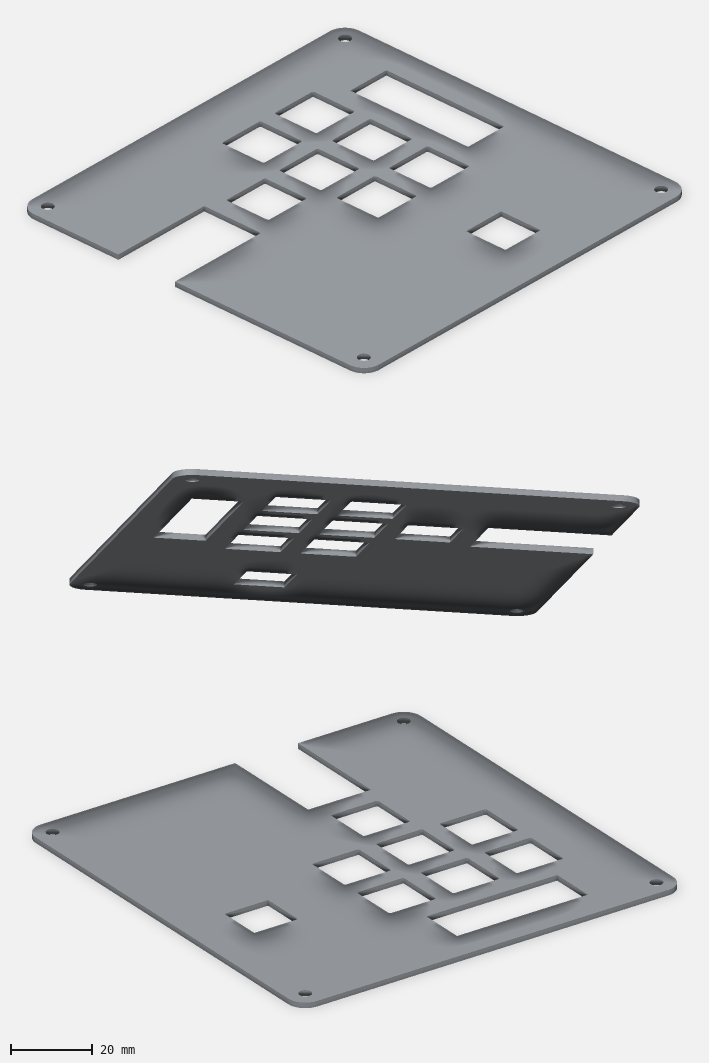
import cadquery as cq

plate_width = 115.3
plate_length = 117.6
plate_thickness = 1.5
corner_radius = 5.1

screw_hole_diameter = 3.4

key_size = 14.0
key_corner_radius = 0.5
key_pitch = 19.1
middle_key_x = -15.4
middle_key_y = 4.0

display_width = 39.2
display_height = 13.1
display_y = 43.1

side_window_width = 13.1
side_window_height = 12.7
side_window_x = 37.3
side_window_y = 13.3

slot_width = 18.8
slot_depth = 31.1
slot_x = -15.1


def rectangle_cutter(width, height, x, y):
    """Rectangular block through the full plate thickness, centred at (x, y)."""
    return cq.Workplane("XY").center(x, y).rect(width, height).extrude(plate_thickness)


def key_cutter(column, row):
    """Rounded key opening, counted in pitches from the middle key."""
    x = middle_key_x + column * key_pitch
    y = middle_key_y + row * key_pitch
    return rectangle_cutter(key_size, key_size, x, y).edges("|Z").fillet(key_corner_radius)


plate = rectangle_cutter(plate_width, plate_length, 0, 0).edges("|Z").fillet(corner_radius)

screw_holes = (
    cq.Workplane("XY")
    .rect(plate_width - 2 * corner_radius, plate_length - 2 * corner_radius, forConstruction=True)
    .vertices()
    .circle(screw_hole_diameter / 2)
    .extrude(plate_thickness)
)
plate = plate.cut(screw_holes)

key_positions = [(column, row) for row in (0, 1) for column in (-1, 0, 1)]
key_positions.append((0, -1))
for column, row in key_positions:
    plate = plate.cut(key_cutter(column, row))

plate = plate.cut(rectangle_cutter(display_width, display_height, middle_key_x, display_y))
plate = plate.cut(rectangle_cutter(side_window_width, side_window_height, side_window_x, side_window_y))

slot_y = (slot_depth - plate_length) / 2
plate = plate.cut(rectangle_cutter(slot_width, slot_depth, slot_x, slot_y))

result = plate